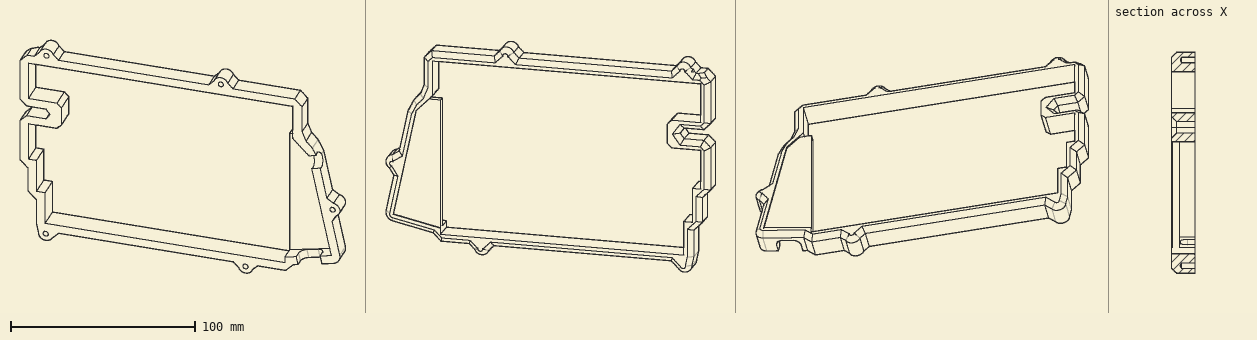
import cadquery as cq
import math

depth = 13.0
wall = 5.0
back_chamfer = 3.0
left = -91.3
right = 69.7
half_height = 54.2
corner_cut = 4.2
facet_depth = 5.1
facet_inset = 2.5

pocket_tilt = 12.0
pocket_corner = (86.3, -40.2)
shoulder_x = 64.3
shoulder_z = 29.4
shoulder_outer = [(right, 34.5), (72.0, 29.0), (75.5, 25.2)]
side_wall_length = 59.3
bottom_wall_length = 23.2

plate_left = 59.9
plate_top = 27.2
plate_thickness = 3.8
plate_setback = 0.7

gap_top = 22.3
gap_bottom = 16.2
notch_tip_x = -74.1
notch_tip_length = 2.2
notch_lead_in = 3.8
notch_inner_x = -67.5
fold_cut = 2.5

step_x = (-86.7, -81.8)
step_top_z = (-11.9, -30.7)
step_inner_z = (-10.8, -30.1)

boss_radius = 4.2
boss_offset = 1.55
boss_half_base = 7.0
boss_root = 6.4
screw_hole = 3.0
screw_hole_depth = 7.3
drill_angle = 118.0

bottom_slot_width = 13.9
bottom_slot_depth = 7.8
bottom_slot_fillet = 3.7
bottom_slot_distance = 13.5
side_slot_radius = 4.4
side_slot_setback = 2.0
side_slot_distance = 57.7

front = -depth / 2
back = depth / 2
tilt = math.radians(pocket_tilt)
along = (math.cos(tilt), math.sin(tilt))
upward = (-math.sin(tilt), math.cos(tilt))

boss_z = half_height + boss_offset
wall_bosses = [
    (-76.1, boss_z, 90),
    (23.4, boss_z, 90),
    (37.5, -boss_z, -90),
    (87.0, -11.3, pocket_tilt),
]
corner_boss = (-76.5, -boss_z)
corner_boss_shoulder_z = -50.5
corner_boss_arc = (180, -35)
hole_centres = [(x, z) for x, z, _ in wall_bosses] + [corner_boss]


def pocket_point(across, up):
    """Point measured from the pocket corner along its tilted walls."""
    x = pocket_corner[0] + across * along[0] + up * upward[0]
    z = pocket_corner[1] + across * along[1] + up * upward[1]
    return (x, z)


shoulder_drop = shoulder_z - pocket_corner[1]
shoulder_run = pocket_corner[0] - shoulder_x - shoulder_drop * math.tan(tilt)
shoulder_run = shoulder_run / (1 - math.tan(tilt))
shoulder_end = (shoulder_x + shoulder_run, shoulder_z - shoulder_run)
pocket_bottom_end = pocket_point((plate_left - pocket_corner[0]) / along[0], 0)


def polar(centre, radius, degrees):
    """Point on a circle in the XZ plane."""
    angle = math.radians(degrees)
    return (centre[0] + radius * math.cos(angle), centre[1] + radius * math.sin(angle))


def prism(points, y_start, length):
    """Extrude an XZ outline from y_start toward +Y."""
    plane = cq.Workplane("XZ", origin=(0, y_start, 0))
    return plane.polyline(points).close().extrude(-length)


def outer_sketch():
    """Outer outline of the frame with its corner boss, clockwise from the upper left."""
    tip_start = notch_tip_x - notch_tip_length
    bottom_end = pocket_point(-bottom_wall_length, -wall)
    bottom_bevel = half_height + bottom_end[1]
    boss_x, boss_bottom_z = corner_boss
    lug_end = polar(corner_boss, boss_radius, corner_boss_arc[1])
    lug_flank = half_height + lug_end[1]
    lug_low = (boss_x, boss_bottom_z - boss_radius)
    lug_start = polar(corner_boss, boss_radius, corner_boss_arc[0])
    return (
        cq.Workplane("XZ", origin=(0, front, 0))
        .polyline([
            (left + corner_cut, half_height),
            (right - corner_cut, half_height),
            (right, half_height - corner_cut),
            *shoulder_outer,
            pocket_point(wall, side_wall_length),
            pocket_point(wall, 0),
        ])
        .threePointArc(polar(pocket_corner, wall, pocket_tilt - 45), pocket_point(0, -wall))
        .polyline([
            bottom_end,
            (bottom_end[0] - bottom_bevel, -half_height),
            (lug_end[0] - lug_flank, -half_height),
            lug_end,
        ], includeCurrent=True)
        .threePointArc(lug_low, lug_start)
        .polyline([
            (step_x[1], corner_boss_shoulder_z),
            (step_x[1], step_top_z[1] - (step_x[1] - step_x[0])),
            (step_x[0], step_top_z[1]),
            (step_x[0], step_top_z[0] - (step_x[0] - left)),
            (left, step_top_z[0]),
            (left, gap_bottom - notch_lead_in),
            (left + notch_lead_in, gap_bottom),
            (tip_start, gap_bottom),
            (notch_tip_x, (gap_top + gap_bottom) / 2),
            (tip_start, gap_top),
            (left + notch_lead_in, gap_top),
            (left, gap_top + notch_lead_in),
            (left, half_height - corner_cut),
        ], includeCurrent=True)
        .close()
    )


def inner_outline():
    """Opening of the frame, clockwise from the upper left."""
    inner_left = left + wall
    inner_height = half_height - wall
    fold_top = gap_top + wall
    fold_bottom = gap_bottom - wall
    return [
        (inner_left, inner_height),
        (shoulder_x, inner_height),
        (shoulder_x, shoulder_z),
        shoulder_end,
        pocket_corner,
        pocket_bottom_end,
        (plate_left, -inner_height),
        (step_x[1] + wall, -inner_height),
        (step_x[1] + wall, step_inner_z[1]),
        (step_x[0] + wall, step_inner_z[1]),
        (step_x[0] + wall, step_inner_z[0]),
        (inner_left, step_inner_z[0]),
        (inner_left, fold_bottom),
        (notch_inner_x - fold_cut, fold_bottom),
        (notch_inner_x, fold_bottom + fold_cut),
        (notch_inner_x, fold_top - fold_cut),
        (notch_inner_x - fold_cut, fold_top),
        (inner_left, fold_top),
    ]


def bevelled(sketch):
    """Extrude a closed XZ sketch over the full depth and bevel its back rim."""
    return sketch.extrude(-depth).faces(">Y").edges().chamfer(back_chamfer)


def boss(x, z, direction):
    """Round lug with 45 degree flanks that run on into the wall."""
    root = -boss_offset - boss_root
    flank_reach = boss_half_base - boss_offset
    tip = boss_radius * 0.6
    flanks = bevelled(
        cq.Workplane("XZ", origin=(0, front, 0))
        .polyline([
            (root, root - flank_reach),
            (tip, tip - flank_reach),
            (tip, flank_reach - tip),
            (root, flank_reach - root),
        ])
        .close()
    )
    lug = bevelled(cq.Workplane("XZ", origin=(0, front, 0)).circle(boss_radius))
    return flanks.union(lug).rotate((0, 0, 0), (0, 1, 0), -direction).translate((x, 0, z))


def bottom_cable_slot():
    """Wide slot with rounded corners, open to the front, through the pocket bottom wall."""
    cutter = cq.Workplane("XY").box(bottom_slot_width, 2 * bottom_slot_depth, 3 * wall)
    cutter = cutter.edges("|Z and >Y").fillet(bottom_slot_fillet)
    cutter = cutter.rotate((0, 0, 0), (0, 1, 0), -pocket_tilt)
    x, z = pocket_point(-bottom_slot_distance, -wall / 2)
    return cutter.translate((x, front, z))


def side_cable_slot():
    """Round channel through the pocket side wall that breaks out of the front face."""
    x, z = pocket_point(-wall / 2, side_slot_distance)
    start = cq.Vector(x, front + side_slot_setback, z)
    axis = cq.Vector(along[0], 0, along[1])
    return cq.Workplane(cq.Solid.makeCylinder(side_slot_radius, 3 * wall, start, axis))


def screw_pilot(x, z):
    """Blind hole from the front with a drill point."""
    radius = screw_hole / 2
    point = radius / math.tan(math.radians(drill_angle / 2))
    profile = (
        cq.Workplane("XY")
        .polyline([(0, 0), (radius, 0), (radius, screw_hole_depth), (0, screw_hole_depth + point)])
        .close()
    )
    return profile.revolve(360, (0, 0), (0, 1)).translate((x, front, z))


def corner_facet():
    """Wedge that trims the back of the upper left corner along its outer edge."""
    span = 3 * corner_cut
    wedge = (
        cq.Workplane("YZ", origin=(-span / 2, 0, 0))
        .polyline([
            (back - facet_depth, 0),
            (back, -facet_inset),
            (back, facet_inset),
            (back - facet_depth, facet_inset),
        ])
        .close()
        .extrude(span)
    )
    wedge = wedge.rotate((0, 0, 0), (0, 1, 0), -45 / 2)
    return wedge.translate((left + corner_cut, 0, half_height))


body = bevelled(outer_sketch())
for x, z, direction in wall_bosses:
    body = body.union(boss(x, z, direction))
body = body.cut(corner_facet())

body = body.cut(prism(inner_outline(), front, depth))

floor_outline = [
    (plate_left, plate_top),
    (shoulder_x + shoulder_z - plate_top, plate_top),
    shoulder_end,
    pocket_corner,
    pocket_bottom_end,
]
body = body.union(prism(floor_outline, back - plate_setback - plate_thickness, plate_thickness))

body = body.cut(bottom_cable_slot())
body = body.cut(side_cable_slot())

for x, z in hole_centres:
    body = body.cut(screw_pilot(x, z))

result = body